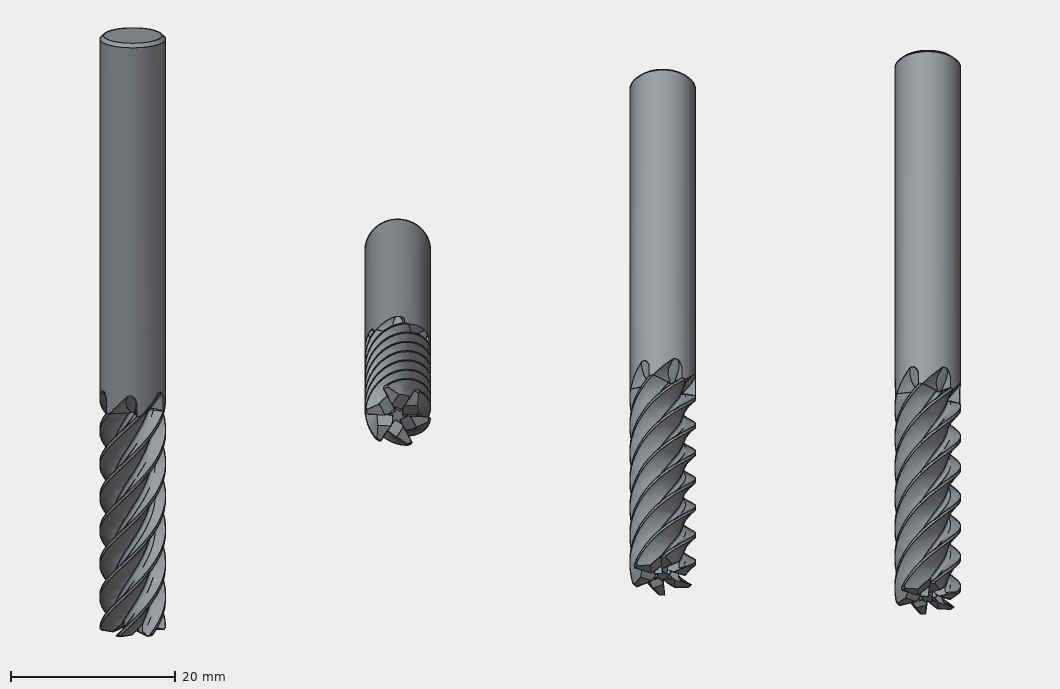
import cadquery as cq
import math

overall_length = 75.0
tool_diameter = 8.0
shank_length = 36.0
cutting_length = 28.0
shank_chamfer = 0.45
corner_chamfer = 0.2

tooth_count = 6
helix_angle = 45.0
land_angle = 7.0
core_radius = 2.25
relief_angle = 20.0
relief_radius = 3.1
relief_end_angle = 41.0
relief_end_radius = 2.5
root_angle = 49.0
rake_angle = 57.0
rake_start_radius = 2.8
edge_start_angle = -78.0

runout_length = 2.55
runout_corner = 1.65
gash_start_radius = 0.6
gash_depth = 1.5
gash_width = 1.35
gash_lean = 0.2

flute_overrun = 0.4
flute_overreach = 0.75
edge_clearance = 0.1

tool_radius = tool_diameter / 2
pitch_angle = 360.0 / tooth_count
lead = math.pi * tool_diameter / math.tan(math.radians(helix_angle))
shank_start = overall_length - shank_length
twist_per_length = 360.0 / lead
edge_end_angle = edge_start_angle - twist_per_length * cutting_length
flute_outer_radius = tool_radius + flute_overreach
flute_edge_radius = tool_radius + edge_clearance


def polar(radius, angle):
    """Point at a radius and an angle in degrees."""
    turn = math.radians(angle)
    return (radius * math.cos(turn), radius * math.sin(turn))


def add_tooth_back(sketch, edge_angle, edge_radius):
    """Run from the heel of a land down the relief, through the root and up to the next cutting edge."""
    return (
        sketch
        .threePointArc(
            polar(relief_radius, edge_angle + relief_angle),
            polar(relief_end_radius, edge_angle + relief_end_angle),
        )
        .threePointArc(
            polar(core_radius, edge_angle + root_angle),
            polar(rake_start_radius, edge_angle + rake_angle),
        )
        .lineTo(*polar(edge_radius, edge_angle + pitch_angle))
    )


def tooth_section():
    """Closed cross-section of the whole cutter at its lower end."""
    sketch = cq.Workplane("XY").moveTo(*polar(tool_radius, edge_end_angle))
    for tooth in range(tooth_count):
        edge_angle = edge_end_angle + tooth * pitch_angle
        land_middle = polar(tool_radius, edge_angle + land_angle / 2)
        land_heel = polar(tool_radius, edge_angle + land_angle)
        sketch = add_tooth_back(sketch.threePointArc(land_middle, land_heel), edge_angle, tool_radius)
    return sketch.close()


def flute_section(edge_angle, height):
    """Closed cross-section at a height of the flute behind one cutting edge, reaching past the diameter."""
    heel_angle = edge_angle + land_angle
    next_angle = edge_angle + pitch_angle
    start = (
        cq.Workplane("XY", origin=(0, 0, height))
        .moveTo(*polar(flute_outer_radius, heel_angle))
        .lineTo(*polar(flute_edge_radius, heel_angle))
    )
    return (
        add_tooth_back(start, edge_angle, flute_edge_radius)
        .lineTo(*polar(flute_outer_radius, next_angle))
        .threePointArc(
            polar(flute_outer_radius, (heel_angle + next_angle) / 2),
            polar(flute_outer_radius, heel_angle),
        )
        .close()
    )


def runout_limit(next_angle, bottom):
    """Block that ends one flute: upright on its rake side, with a rounded upper corner."""
    top = cutting_length + runout_length + flute_overrun
    corner_middle = runout_corner * (1 - math.sqrt(0.5))
    return (
        cq.Workplane("YZ")
        .moveTo(-tool_radius, bottom)
        .lineTo(0, bottom)
        .lineTo(0, top - runout_corner)
        .threePointArc((-corner_middle, top - corner_middle), (-runout_corner, top))
        .lineTo(-tool_radius, top)
        .close()
        .extrude(tool_diameter)
        .rotate((0, 0, 0), (0, 0, 1), next_angle)
    )


def flute_runout(edge_angle):
    """Fading end of one flute: its heel follows the helix, its rake side runs straight up."""
    bottom = cutting_length - flute_overrun
    height = flute_overrun + runout_length + flute_overrun
    bottom_angle = edge_angle - twist_per_length * flute_overrun
    flute = flute_section(bottom_angle, bottom).twistExtrude(height, twist_per_length * height)
    floor_slope = (tool_radius - core_radius) / runout_length
    floor = cq.Workplane(cq.Solid.makeCone(
        core_radius - floor_slope * flute_overrun,
        flute_outer_radius,
        flute_overrun + (flute_outer_radius - core_radius) / floor_slope,
        pnt=cq.Vector(0, 0, bottom),
    ))
    return flute.intersect(runout_limit(edge_angle + pitch_angle, bottom)).cut(floor)


def make_shank():
    """Chamfered shank and the neck of the same diameter, with the flutes fading out in the neck."""
    body = (
        cq.Workplane("YZ")
        .moveTo(0, cutting_length)
        .lineTo(-tool_radius, cutting_length)
        .lineTo(-tool_radius, shank_start)
        .lineTo(-tool_radius, overall_length - shank_chamfer)
        .lineTo(shank_chamfer - tool_radius, overall_length)
        .lineTo(0, overall_length)
        .close()
        .revolve(360, (0, 0), (0, 1), clean=False)
    )
    for tooth in range(tooth_count):
        body = body.cut(flute_runout(edge_start_angle + tooth * pitch_angle), clean=False)
    return body


def corner_ring():
    """Ring that chamfers the outer corners of the end teeth at 45 degrees, sized to clear the cutter."""
    ring_inner_radius = tool_radius - 2 * corner_chamfer
    return (
        cq.Workplane("XZ")
        .moveTo(ring_inner_radius, -corner_chamfer)
        .lineTo(flute_outer_radius, -corner_chamfer)
        .lineTo(flute_outer_radius, flute_outer_radius - ring_inner_radius - corner_chamfer)
        .close()
        .revolve(360, (0, 0), (0, 1))
    )


def end_gash(edge_angle):
    """Radial wedge in front of one end tooth, leaning with the helix."""
    return (
        cq.Workplane("YZ", origin=(gash_start_radius, 0, 0))
        .polyline([(0, 0), (gash_lean, gash_depth), (-gash_width, 0)])
        .close()
        .extrude(tool_diameter)
        .rotate((0, 0, 0), (0, 0, 1), edge_angle)
    )


def make_cutter():
    """Helical six-tooth cutter with gashed end teeth."""
    teeth = tooth_section().twistExtrude(cutting_length, twist_per_length * cutting_length)
    removed = [corner_ring().val()]
    for tooth in range(tooth_count):
        removed.append(end_gash(edge_end_angle + tooth * pitch_angle).val())
    return cq.Workplane(teeth.val().cut(*removed))


shank = make_shank()
cutter = make_cutter()

result = cq.Compound.makeCompound([shank.val(), cutter.val()])